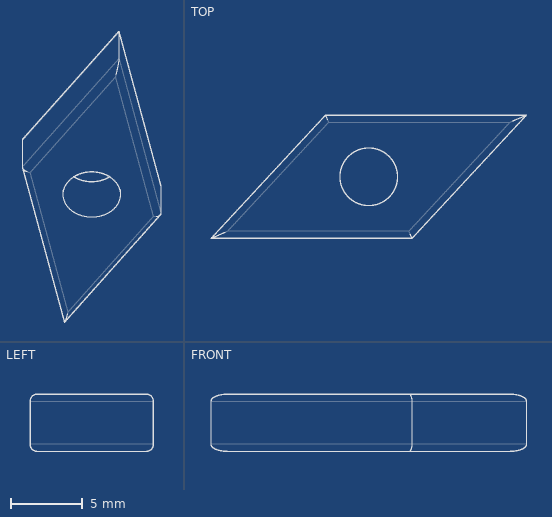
import cadquery as cq

length = 22.0
width = 8.6
thickness = 4.0
long_edge = 14.01
hole_diameter = 4.0
edge_radius = 0.5

half_length = length / 2
half_width = width / 2
outline = [
    (-half_length, -half_width),
    (-half_length + long_edge, -half_width),
    (half_length, half_width),
    (half_length - long_edge, half_width),
]
plate = cq.Workplane("XY").polyline(outline).close().extrude(thickness)

plate = plate.faces("<Z or >Z").edges().fillet(edge_radius)

result = plate.faces(">Z").workplane(origin=(0, 0, thickness)).hole(hole_diameter)